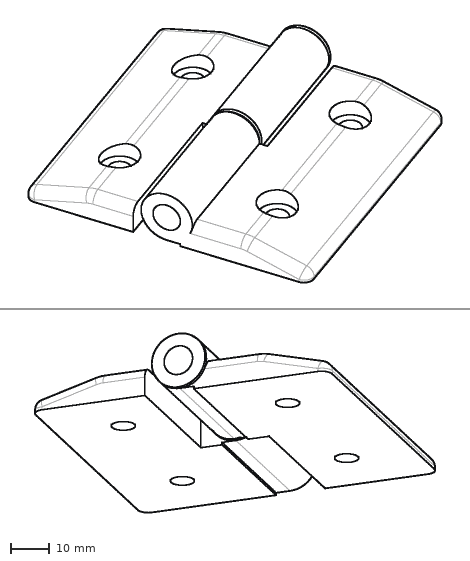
import cadquery as cq
import math

HALF_WIDTH = 41.5
LEAF_LENGTH = 80.0
LEAF_THICKNESS = 8.1
BEND_X = 22.9
SLOPE_ANGLE = 15.0
BEND_RADIUS = 10.0
EDGE_RADIUS = 2.9

BARREL_RADIUS = 7.5
AXIS_Z = LEAF_THICKNESS
LEAF_GAP = 1.3
NOTCH_EDGE_X = 9.8
RELIEF_HALF_WIDTH = 3.9

HOLE_X = 23.0
HOLE_Y = 21.4
HOLE_DIAMETER = 6.3
COUNTERBORE_DIAMETER = 10.95
COUNTERBORE_FLOOR_Z = 3.65

PIN_DIAMETER = 8.0
RING_THICKNESS = 1.1

HALF_LENGTH = LEAF_LENGTH / 2
KNUCKLE_LENGTH = HALF_LENGTH - LEAF_GAP / 2
TOP_RING_END_Y = HALF_LENGTH + RING_THICKNESS
WASHER_THICKNESS = LEAF_GAP - RING_THICKNESS


def axial_cylinder(diameter, start_y, length):
    """Cylinder on the hinge axis, running toward +Y from start_y."""
    workplane = cq.Workplane("XZ", origin=(0, start_y, AXIS_Z))
    return workplane.circle(diameter / 2).extrude(-length)


def make_plate():
    """Rounded plate reaching from the hinge axis to the outer edge at -X."""
    edge_height = LEAF_THICKNESS - (HALF_WIDTH - BEND_X) * math.tan(math.radians(SLOPE_ANGLE))
    plate = (
        cq.Workplane("XZ", origin=(0, HALF_LENGTH, 0))
        .moveTo(-HALF_WIDTH, 0)
        .lineTo(0, 0)
        .lineTo(0, LEAF_THICKNESS)
        .lineTo(-BEND_X, LEAF_THICKNESS)
        .lineTo(-HALF_WIDTH, edge_height)
        .close()
        .extrude(LEAF_LENGTH)
    )
    bend_edge = cq.selectors.NearestToPointSelector((-BEND_X, 0, LEAF_THICKNESS))
    plate = plate.edges(bend_edge).fillet(BEND_RADIUS)
    outer_corners = plate.edges("|Z and <X")
    top_end_edges = plate.faces("|Y").edges("not <Z").edges("not |Z")
    outer_top_edge = plate.edges(cq.selectors.NearestToPointSelector((-HALF_WIDTH, 0, edge_height)))
    return outer_corners.add(top_end_edges).add(outer_top_edge).fillet(EDGE_RADIUS)


def cut_notch(plate):
    """Remove the corner that the other leaf's knuckle occupies."""
    notch = cq.Workplane("XY").box(
        NOTCH_EDGE_X, HALF_LENGTH + LEAF_GAP / 2, LEAF_THICKNESS, centered=False
    )
    return plate.cut(notch.translate((-NOTCH_EDGE_X, -HALF_LENGTH, 0)))


def cut_underside_relief(plate):
    """Raise the underside below the knuckle to the bottom of the barrel."""
    relief = cq.Workplane("XY").box(
        RELIEF_HALF_WIDTH, LEAF_LENGTH, AXIS_Z - BARREL_RADIUS, centered=(False, True, False)
    )
    return plate.cut(relief.translate((-RELIEF_HALF_WIDTH, 0, 0)))


def cut_screw_holes(leaf):
    """Cut two through holes with flat-floored counterbores."""
    centers = [(-HOLE_X, -HOLE_Y), (-HOLE_X, HOLE_Y)]
    holes = cq.Workplane("XY").pushPoints(centers).circle(HOLE_DIAMETER / 2).extrude(LEAF_THICKNESS)
    counterbores = (
        cq.Workplane("XY", origin=(0, 0, COUNTERBORE_FLOOR_Z))
        .pushPoints(centers)
        .circle(COUNTERBORE_DIAMETER / 2)
        .extrude(LEAF_THICKNESS)
    )
    return leaf.cut(holes).cut(counterbores)


def make_leaf():
    """Leaf on the -X side, with its knuckle on the +Y half of the hinge."""
    plate = cut_underside_relief(cut_notch(make_plate()))
    knuckle = axial_cylinder(2 * BARREL_RADIUS, LEAF_GAP / 2, KNUCKLE_LENGTH)
    leaf = cut_screw_holes(plate.union(knuckle))
    return leaf.cut(axial_cylinder(PIN_DIAMETER, LEAF_GAP / 2, KNUCKLE_LENGTH))


def make_collar(start_y, thickness):
    """Flat ring around the pin, as wide as the barrel."""
    collar = axial_cylinder(2 * BARREL_RADIUS, start_y, thickness)
    return collar.cut(axial_cylinder(PIN_DIAMETER, start_y, thickness))


def make_bearing_ring(start_y):
    """Bearing ring against one end of the +Y knuckle."""
    return make_collar(start_y, RING_THICKNESS)


def make_washer():
    """Thin washer between the inner bearing ring and the -Y knuckle."""
    return make_collar(-LEAF_GAP / 2, WASHER_THICKNESS)


def make_pin():
    """Pin through both knuckles and all the collars around it."""
    return axial_cylinder(PIN_DIAMETER, -HALF_LENGTH, TOP_RING_END_Y + HALF_LENGTH)


leaves = [make_leaf().rotate((0, 0, 0), (0, 0, 1), angle) for angle in (0, 180)]

bearing_rings = [make_bearing_ring(y) for y in (LEAF_GAP / 2 - RING_THICKNESS, HALF_LENGTH)]

washer = make_washer()
pin = make_pin()

result = cq.Compound.makeCompound(
    [
        *[leaf.val() for leaf in leaves],
        *[ring.val() for ring in bearing_rings],
        washer.val(),
        pin.val(),
    ]
)